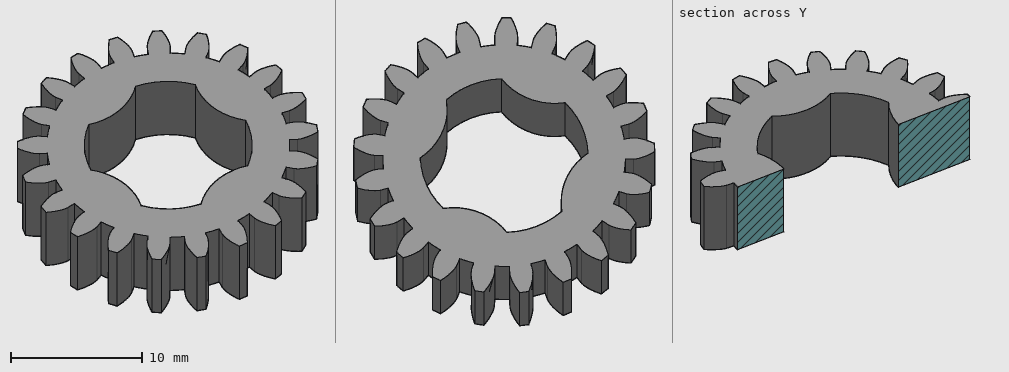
import cadquery as cq
import math

MODULE = 1.0
TOOTH_COUNT = 21
PRESSURE_ANGLE = math.radians(20)
DEDENDUM_FACTOR = 1.25
FACE_WIDTH = 6.25

BORE_RADIUS = 6.4
LOBE_COUNT = 4
LOBE_RADIUS = 5.0
LOBE_TIP_RADIUS = 5.1

INVOLUTE_POINTS = 6

pitch_radius = MODULE * TOOTH_COUNT / 2
tip_radius = pitch_radius + MODULE
root_radius = pitch_radius - DEDENDUM_FACTOR * MODULE
base_radius = pitch_radius * math.cos(PRESSURE_ANGLE)
tooth_pitch_angle = 2 * math.pi / TOOTH_COUNT


def polar(radius, angle):
    return (radius * math.cos(angle), radius * math.sin(angle))


def involute_angle(radius):
    """Polar angle swept by the involute between the base circle and a radius."""
    pressure = math.acos(base_radius / radius)
    return math.tan(pressure) - pressure


base_half_angle = tooth_pitch_angle / 4 + involute_angle(pitch_radius)


def flank_points():
    """Points up one involute flank, as (radius, half angle of the tooth there)."""
    step = (tip_radius - base_radius) / (INVOLUTE_POINTS - 1)
    radii = [base_radius + i * step for i in range(INVOLUTE_POINTS)]
    return [(radius, base_half_angle - involute_angle(radius)) for radius in radii]


def gear_outline():
    """Closed outline: radial foot, involute flank and flat tip on each tooth, arcs along the root."""
    flank = flank_points()
    outline = cq.Workplane("XY").moveTo(*polar(root_radius, -base_half_angle))
    for tooth in range(TOOTH_COUNT):
        center = tooth * tooth_pitch_angle
        rising = [polar(radius, center - half) for radius, half in flank]
        falling = [polar(radius, center + half) for radius, half in reversed(flank)]
        root_middle = polar(root_radius, center + tooth_pitch_angle / 2)
        next_foot = polar(root_radius, center + tooth_pitch_angle - base_half_angle)
        outline = (
            outline.lineTo(*rising[0])
            .spline(rising[1:], includeCurrent=True)
            .lineTo(*falling[0])
            .spline(falling[1:], includeCurrent=True)
            .lineTo(*polar(root_radius, center + base_half_angle))
            .threePointArc(root_middle, next_foot)
        )
    return outline.close()


def bore_cutter():
    """Cylinder of the bore with the four inward lobes taken out of it."""
    lobes = (
        cq.Workplane("XY")
        .polarArray(LOBE_TIP_RADIUS + LOBE_RADIUS, 0, 360, LOBE_COUNT)
        .circle(LOBE_RADIUS)
        .extrude(FACE_WIDTH)
    )
    return cq.Workplane("XY").circle(BORE_RADIUS).extrude(FACE_WIDTH).cut(lobes)


gear_blank = gear_outline().extrude(FACE_WIDTH)
result = gear_blank.cut(bore_cutter())